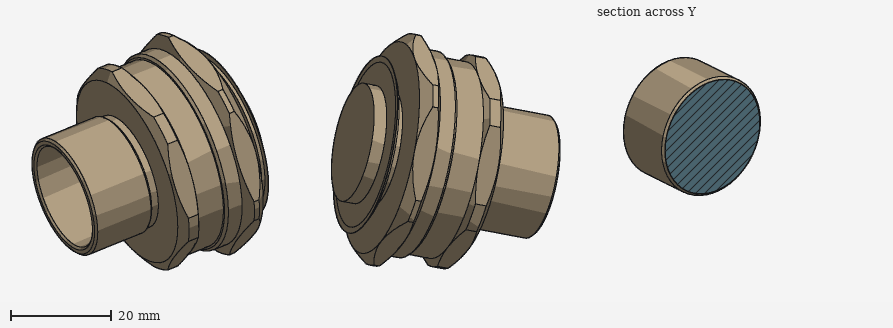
import cadquery as cq
import math


TUBE_END = 13.4
SMALL_HEX_START = 14.95
SMALL_HEX_END = 19.45
BODY_END = 25.28
LARGE_HEX_START = 29.05
LARGE_HEX_END = 33.7
FLANGE_START = 36.2
FLANGE_END = 37.05
TOTAL_LENGTH = 39.75

TUBE_DIAMETER = 25.0
BORE_DIAMETER = 21.5
BORE_MOUTH_DIAMETER = 22.4
STEM_DIAMETER = 24.0
COLLAR_DIAMETER = 42.0
FLANGE_DIAMETER = 33.5
LIP_DIAMETER = 36.0

SMALL_HEX_FLATS = 40.0
SMALL_HEX_CORNERS = 43.05
LARGE_HEX_FLATS = 43.0
LARGE_HEX_CORNERS = 47

HEX_FRONT_CHAMFER = 1.35
SMALL_HEX_BACK_CHAMFER = 0.85
LARGE_HEX_BACK_CHAMFER = 2.1
SMALL_HEX_FACE = 38.9

BORE_DEPTH = 13.4
TUBE_CHAMFER = 0.45
COLLAR_CHAMFER = 0.55
LIP_THICKNESS = 0.1


def cylinder(diameter, start, end):
    """Solid cylinder on the Y axis between two stations."""
    plane = cq.Workplane("XZ", origin=(0, start, 0))
    return plane.circle(diameter / 2).extrude(start - end)


def chamfered_hex(flats, corners, start, end, front, back):
    """Hexagon with corners on X; front and back give (chamfer length, face diameter)."""
    front_length, front_diameter = front
    back_length, back_diameter = back
    point_diameter = flats / math.cos(math.pi / 6)
    prism = cq.Workplane("XZ", origin=(0, start, 0)).polygon(6, point_diameter).extrude(start - end)
    envelope = (
        cq.Workplane("XY")
        .moveTo(0, start)
        .lineTo(front_diameter / 2, start)
        .lineTo(corners / 2, start + front_length)
        .lineTo(corners / 2, end - back_length)
        .lineTo(back_diameter / 2, end)
        .lineTo(0, end)
        .close()
        .revolve(360, (0, 0, 0), (0, 1, 0))
    )
    return prism.intersect(envelope)


tube = cylinder(TUBE_DIAMETER, 0, TUBE_END).edges().chamfer(TUBE_CHAMFER)
stem = cylinder(STEM_DIAMETER, TUBE_END, TOTAL_LENGTH)

small_hex = chamfered_hex(
    SMALL_HEX_FLATS,
    SMALL_HEX_CORNERS,
    SMALL_HEX_START,
    SMALL_HEX_END,
    (HEX_FRONT_CHAMFER, SMALL_HEX_FACE),
    (SMALL_HEX_BACK_CHAMFER, SMALL_HEX_FLATS),
)
body = cylinder(SMALL_HEX_FLATS, SMALL_HEX_END, BODY_END)
collar = (
    cylinder(COLLAR_DIAMETER, BODY_END, LARGE_HEX_START)
    .faces("<Y")
    .chamfer(COLLAR_CHAMFER)
)
large_hex = chamfered_hex(
    LARGE_HEX_FLATS,
    LARGE_HEX_CORNERS,
    LARGE_HEX_START,
    LARGE_HEX_END,
    (HEX_FRONT_CHAMFER, COLLAR_DIAMETER),
    (LARGE_HEX_BACK_CHAMFER, LARGE_HEX_FLATS),
)

flange = cylinder(FLANGE_DIAMETER, FLANGE_START, FLANGE_END)
lip = cylinder(LIP_DIAMETER, FLANGE_END - LIP_THICKNESS, FLANGE_END)

result = tube
for section in (stem, small_hex, body, collar, large_hex, flange, lip):
    result = result.union(section)

mouth_chamfer = (BORE_MOUTH_DIAMETER - BORE_DIAMETER) / 2
bore = cylinder(BORE_DIAMETER, 0, BORE_DEPTH)
mouth = cq.Workplane(
    cq.Solid.makeCone(
        BORE_MOUTH_DIAMETER / 2,
        BORE_DIAMETER / 2,
        mouth_chamfer,
        pnt=cq.Vector(0, 0, 0),
        dir=cq.Vector(0, 1, 0),
    )
)
result = result.cut(bore).cut(mouth)